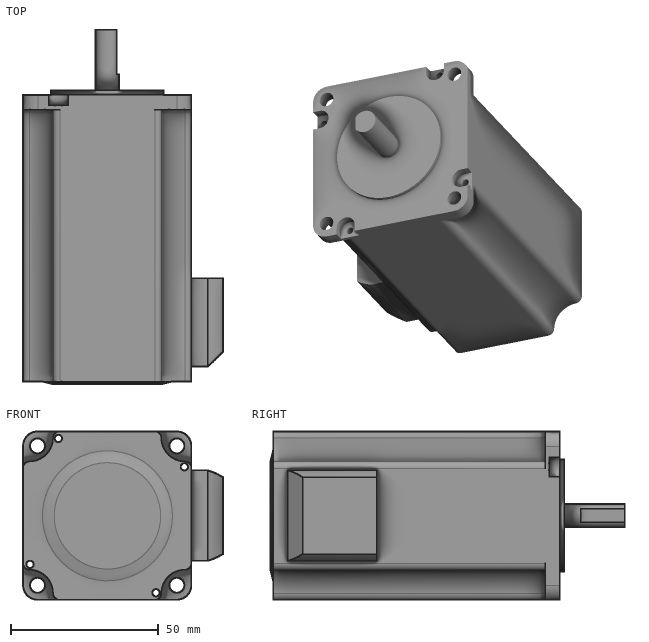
import cadquery as cq
import math

BODY_SIZE = 57.0
HALF_SIZE = BODY_SIZE / 2
TOTAL_LENGTH = 120.0
BODY_LENGTH = 97.0
FLANGE_THICKNESS = 5.0
FLANGE_CORNER_RADIUS = 5.0

MOUNT_SPACING = 47.14
MOUNT_DIAMETER = 5.0

CHANNEL_RADIUS = 8.1
CHANNEL_INSET = 2.1
CHANNEL_CENTER = HALF_SIZE - CHANNEL_INSET
LIP_RADIUS = 2.2

SCREW_ALONG_FACE = 16.5
SCREW_EDGE_DISTANCE = 2.4
SCREW_FROM_AXIS = HALF_SIZE - SCREW_EDGE_DISTANCE
SCREW_DIAMETER = 2.4
SCREW_HEAD_DIAMETER = 6.6
SCREW_HEAD_DEPTH = 3.6

PILOT_DIAMETER = 38.1
PILOT_HEIGHT = 1.5
COVER_BASE_RADIUS = 22.0
COVER_TOP_RADIUS = 18.0
COVER_HEIGHT = 1.0
SHAFT_DIAMETER = 8.0
SHAFT_TIP = TOTAL_LENGTH - BODY_LENGTH - COVER_HEIGHT
SHAFT_FLAT_LENGTH = 15.0
SHAFT_FLAT_OFFSET = 3.25

CONNECTOR_PROJECTION = 10.7
CONNECTOR_BASE = 5.5
CONNECTOR_WIDTH = 30.7
CONNECTOR_TIP_WIDTH = 26.0
CONNECTOR_LENGTH = 30.0
CONNECTOR_REAR_GAP = 5.0
CONNECTOR_CHAMFER = 5.0
CONNECTOR_BULGE = 0.15


def section(y):
    """XZ sketch plane at the given Y; extrusion runs towards -Y and local x, y are X, Z."""
    return cq.Workplane("XZ", origin=(0, y, 0))


def make_flange():
    flange = section(0).rect(BODY_SIZE, BODY_SIZE).extrude(FLANGE_THICKNESS)
    flange = flange.edges("|Y").fillet(FLANGE_CORNER_RADIUS)
    holes = section(0).rect(MOUNT_SPACING, MOUNT_SPACING, forConstruction=True).vertices()
    return flange.cut(holes.circle(MOUNT_DIAMETER / 2).extrude(FLANGE_THICKNESS))


def quarter_turns(shape):
    """The shape and its copies at each quarter turn about the motor axis."""
    return [shape.rotate((0, 0, 0), (0, 1, 0), 90 * turn) for turn in range(4)]


def make_body():
    body = section(0).rect(BODY_SIZE, BODY_SIZE).extrude(BODY_LENGTH)
    channel = section(0).center(CHANNEL_CENTER, CHANNEL_CENTER).circle(CHANNEL_RADIUS).extrude(BODY_LENGTH)
    for corner_channel in quarter_turns(channel):
        body = body.cut(corner_channel)
    return body.edges("|Y").fillet(LIP_RADIUS)


def make_pilot_and_shaft():
    pilot = section(PILOT_HEIGHT).circle(PILOT_DIAMETER / 2).extrude(PILOT_HEIGHT)
    shaft = section(SHAFT_TIP).circle(SHAFT_DIAMETER / 2).extrude(SHAFT_TIP)
    flat = (
        section(SHAFT_TIP)
        .center(SHAFT_FLAT_OFFSET + SHAFT_DIAMETER / 2, 0)
        .rect(SHAFT_DIAMETER, SHAFT_DIAMETER)
        .extrude(SHAFT_FLAT_LENGTH)
    )
    return pilot.union(shaft.cut(flat))


def make_rear_cover():
    slope_angle = math.degrees(math.atan2(COVER_BASE_RADIUS - COVER_TOP_RADIUS, COVER_HEIGHT))
    return section(-BODY_LENGTH).circle(COVER_BASE_RADIUS).extrude(COVER_HEIGHT, taper=slope_angle)


def make_connector():
    rear = -BODY_LENGTH + CONNECTOR_REAR_GAP
    shoulder = HALF_SIZE + CONNECTOR_BASE
    tip = HALF_SIZE + CONNECTOR_PROJECTION
    half_width = CONNECTOR_WIDTH / 2
    half_tip = CONNECTOR_TIP_WIDTH / 2
    bulge_x = (shoulder + tip) / 2 + CONNECTOR_BULGE
    bulge_z = (half_width + half_tip) / 2 + CONNECTOR_BULGE
    connector = (
        section(rear + CONNECTOR_LENGTH)
        .moveTo(HALF_SIZE, -half_width)
        .lineTo(shoulder, -half_width)
        .threePointArc((bulge_x, -bulge_z), (tip, -half_tip))
        .lineTo(tip, half_tip)
        .threePointArc((bulge_x, bulge_z), (shoulder, half_width))
        .lineTo(HALF_SIZE, half_width)
        .close()
        .extrude(CONNECTOR_LENGTH)
    )
    rear_slope = (
        cq.Workplane("XY", origin=(0, 0, -half_width))
        .moveTo(shoulder, rear)
        .lineTo(tip, rear)
        .lineTo(tip, rear + CONNECTOR_CHAMFER)
        .close()
        .extrude(CONNECTOR_WIDTH)
    )
    return connector.cut(rear_slope)


def make_screw_cuts():
    """One screw hole near the -X end of the +Z face, with a head recess open to that face."""
    screw_axis = section(0).center(-SCREW_ALONG_FACE, SCREW_FROM_AXIS)
    hole = screw_axis.circle(SCREW_DIAMETER / 2).extrude(BODY_LENGTH)
    recess = (
        section(0)
        .center(-SCREW_ALONG_FACE, SCREW_FROM_AXIS + SCREW_HEAD_DIAMETER / 2)
        .slot2D(2 * SCREW_HEAD_DIAMETER, SCREW_HEAD_DIAMETER, 90)
        .extrude(SCREW_HEAD_DEPTH)
    )
    return hole.union(recess)


result = make_body().union(make_flange()).union(make_pilot_and_shaft())
result = result.union(make_rear_cover()).union(make_connector())
for screw_cut in quarter_turns(make_screw_cuts()):
    result = result.cut(screw_cut)